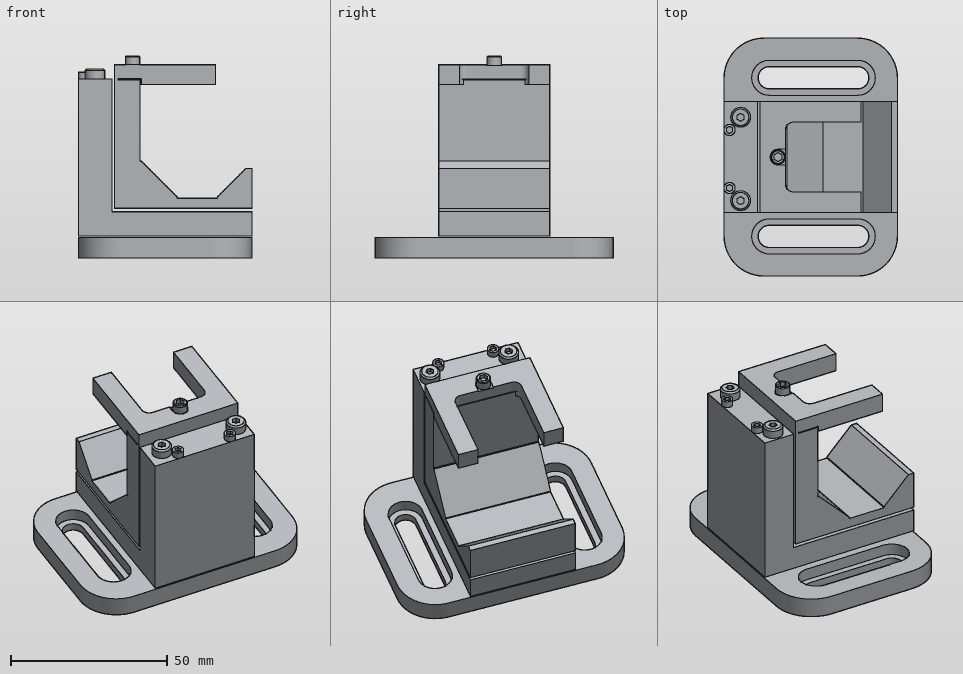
import cadquery as cq
import math


length = 55.55
plate_width = 76.2
plate_thickness = 6.6
plate_corner_radius = 12.8
slot_center_x = 28.65
slot_edge_distance = 12.7
slot_arc_spacing = 28.35
slot_width = 7.0
slot_recess_width = 11.2
slot_recess_depth = 4.0

body_width = 35.6
bracket_bottom = 7.1
bracket_foot_top = 14.85
bracket_top = 57.4
bracket_wall = 10.75

screw_pair_y = -0.6
large_head_diameter = 6.3
large_head_height = 3.2
large_head_chamfer = 0.5
large_head_x = 5.3
large_head_spacing = 26.7
large_socket_flats = 2.2
small_head_diameter = 3.6
small_head_height = 2.1
small_head_x = small_head_diameter / 2
small_head_spacing = 18.6
small_socket_flats = 2.0
small_socket_depth = 1.15
socket_depth = 1.5

carriage_back = 11.5
carriage_bottom = 15.9
carriage_wall_front = 19.7
v_floor = 19.2
v_floor_step = 0.4
v_floor_back = 31.6
v_floor_front = 44.4
v_ledge = 0.45
v_lip_top = 28.7
fork_front = 43.9
fork_top = 61.95
fork_bottom = 55.55
slit_gap = 0.3
slit_back = 12.7
slit_top = bracket_top
fork_opening_width = 22.3
fork_opening_radius = 2.5

fork_head_x = 17.3
fork_head_diameter = 4.65
fork_head_height = 2.75
fork_head_chamfer = 0.3
fork_socket_flats = 2.5
fork_recess_width = 5.0
fork_recess_depth = 0.4


def box(x_min, x_max, width, z_min, z_max):
    """Box centred on Y = 0."""
    block = cq.Workplane("XY").box(x_max - x_min, width, z_max - z_min, centered=(False, True, False))
    return block.translate((x_min, 0, z_min))


def side_profile(points):
    """Extrude an X-Z outline across the body width, centred on Y = 0."""
    return cq.Workplane("XZ").polyline(points).close().extrude(body_width / 2, both=True)


def screw_head(x, y, z, diameter, height, socket_flats, depth, chamfer=0.0):
    """Cylindrical head seated at height z, with a hexagon socket pointing along Y."""
    head = cq.Workplane("XY").circle(diameter / 2).extrude(height)
    if chamfer:
        head = head.faces(">Z").edges().chamfer(chamfer)
    across_corners = socket_flats / math.cos(math.pi / 6)
    socket = cq.Workplane("XY", origin=(0, 0, height - depth)).polygon(6, across_corners).extrude(depth)
    head = head.cut(socket.rotate((0, 0, 0), (0, 0, 1), 30))
    return head.translate((x, y, z))


def make_plate():
    """Rounded plate with a recessed through slot along each long side."""
    plate = box(0, length, plate_width, 0, plate_thickness).edges("|Z").fillet(plate_corner_radius)
    slot_y = plate_width / 2 - slot_edge_distance
    recess_floor = plate_thickness - slot_recess_depth
    for y in (-slot_y, slot_y):
        slot = cq.Workplane("XY", origin=(slot_center_x, y, 0))
        slot = slot.slot2D(slot_arc_spacing + slot_width, slot_width).extrude(plate_thickness)
        recess = cq.Workplane("XY", origin=(slot_center_x, y, recess_floor))
        recess = recess.slot2D(slot_arc_spacing + slot_recess_width, slot_recess_width)
        plate = plate.cut(slot).cut(recess.extrude(slot_recess_depth))
    return plate


def make_bracket():
    """L-shaped bracket with two large and two small screw heads on its top."""
    bracket = side_profile([
        (0, bracket_bottom),
        (length, bracket_bottom),
        (length, bracket_foot_top),
        (bracket_wall, bracket_foot_top),
        (bracket_wall, bracket_top),
        (0, bracket_top),
    ])
    for side in (-1, 1):
        bracket = bracket.union(screw_head(
            large_head_x, screw_pair_y + side * large_head_spacing / 2, bracket_top,
            large_head_diameter, large_head_height, large_socket_flats, socket_depth, large_head_chamfer,
        ))
        bracket = bracket.union(screw_head(
            small_head_x, screw_pair_y + side * small_head_spacing / 2, bracket_top,
            small_head_diameter, small_head_height, small_socket_flats, small_socket_depth,
        ))
    return bracket


def make_carriage():
    """V-block with an upright wall and a clamping fork, joined behind a thin slit."""
    slope_bottom = v_floor + v_floor_step
    slope_back = carriage_wall_front + v_ledge
    slope_back_top = slope_bottom + v_floor_back - slope_back
    lip_back = v_floor_front + v_lip_top - slope_bottom
    slit_front = carriage_wall_front + slit_gap
    slit_bottom = slit_top - slit_gap
    carriage = side_profile([
        (carriage_back, carriage_bottom),
        (length, carriage_bottom),
        (length, v_lip_top),
        (lip_back, v_lip_top),
        (v_floor_front, slope_bottom),
        (v_floor_front, v_floor),
        (v_floor_back, v_floor),
        (v_floor_back, slope_bottom),
        (slope_back, slope_back_top),
        (carriage_wall_front, slope_back_top),
        (carriage_wall_front, slit_bottom),
        (slit_back, slit_bottom),
        (slit_back, slit_top),
        (slit_front, slit_top),
        (slit_front, fork_bottom),
        (fork_front, fork_bottom),
        (fork_front, fork_top),
        (carriage_back, fork_top),
    ])

    opening = box(carriage_wall_front, fork_front, fork_opening_width, fork_bottom, fork_top)
    carriage = carriage.cut(opening.edges("|Z and <X").fillet(fork_opening_radius))

    seat_z = fork_top - fork_recess_depth
    seat = cq.Workplane("XY", origin=(fork_head_x, 0, seat_z)).circle(fork_recess_width / 2)
    seat = seat.extrude(fork_recess_depth)
    seat = seat.union(box(fork_head_x, carriage_wall_front, fork_recess_width, seat_z, fork_top))
    carriage = carriage.cut(seat)

    head = screw_head(
        fork_head_x, 0, seat_z,
        fork_head_diameter, fork_head_height + fork_recess_depth,
        fork_socket_flats, socket_depth, fork_head_chamfer,
    )
    return carriage.union(head)


plate = make_plate()
bracket = make_bracket()
carriage = make_carriage()

result = cq.Compound.makeCompound([plate.val(), bracket.val(), carriage.val()])